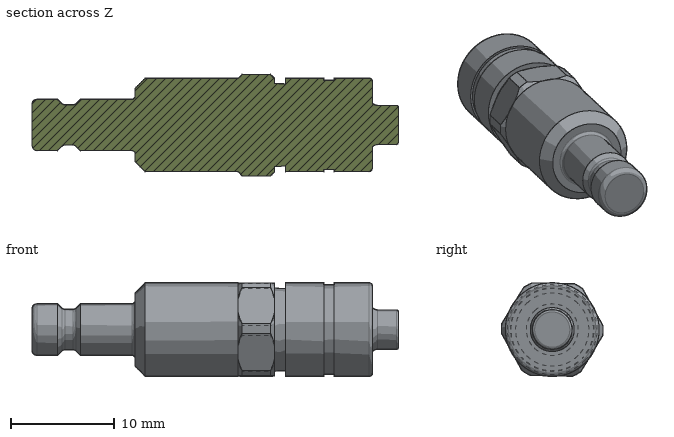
import cadquery as cq
import math

shoulder_x = 10.0
hex_start = 19.98
hex_end = 23.55
sleeve_start = 24.55
sleeve_end = 33.03
total_length = 35.55

plug_radius = 5.0 / 2
tip_fillet = 0.5
groove_radius = 3.95 / 2
groove_start = 2.5
groove_end = 4.7
groove_corner = 0.43
plug_root_fillet = 0.3

body_radius = 9.1 / 2
body_chamfer = 1.0
hex_flats = 9.0
hex_round_radius = 9.9 / 2
hex_chamfer = hex_round_radius - body_radius
hex_tilt = -1.2
hex_sides = 6

neck_front_radius = 8.1 / 2
neck_rear_radius = 8.0 / 2
band_start = 28.3
band_end = 29.3
band_radius = 8.7 / 2
sleeve_fillet = 0.32
pin_radius = 3.85 / 2
pin_root_length = 0.5
pin_root_rise = 0.2
pin_tip_fillet = 0.2

round_mid = 1 - math.sqrt(0.5)


def revolve_about_x(profile):
    return profile.close().revolve(360, (0, 0, 0), (1, 0, 0))


def make_plug():
    arc_length = groove_corner * math.sin(math.radians(45))
    arc_rise = groove_corner * (1 - math.cos(math.radians(45)))
    mid_length = groove_corner * math.sin(math.radians(22.5))
    mid_rise = groove_corner * (1 - math.cos(math.radians(22.5)))
    arc_top = groove_radius + arc_rise
    wall_length = plug_radius - arc_top
    wall_foot_front = groove_start + wall_length
    wall_foot_rear = groove_end - wall_length
    floor_start = wall_foot_front + arc_length
    floor_end = wall_foot_rear - arc_length
    root_mid = plug_root_fillet * round_mid

    return revolve_about_x(
        cq.Workplane("XY")
        .lineTo(0, plug_radius - tip_fillet)
        .threePointArc(
            (tip_fillet * round_mid, plug_radius - tip_fillet * round_mid),
            (tip_fillet, plug_radius),
        )
        .lineTo(groove_start, plug_radius)
        .lineTo(wall_foot_front, arc_top)
        .threePointArc((floor_start - mid_length, groove_radius + mid_rise), (floor_start, groove_radius))
        .lineTo(floor_end, groove_radius)
        .threePointArc((floor_end + mid_length, groove_radius + mid_rise), (wall_foot_rear, arc_top))
        .lineTo(groove_end, plug_radius)
        .lineTo(shoulder_x - plug_root_fillet, plug_radius)
        .threePointArc(
            (shoulder_x - root_mid, plug_radius + root_mid),
            (shoulder_x, plug_radius + plug_root_fillet),
        )
        .lineTo(shoulder_x, 0)
    )


def make_body():
    length = hex_start - shoulder_x
    body = cq.Workplane("YZ", origin=(shoulder_x, 0, 0)).circle(body_radius).extrude(length)
    return body.faces("<X").chamfer(body_chamfer)


def make_hexagon():
    length = hex_end - hex_start
    corner_diameter = hex_flats / math.cos(math.pi / hex_sides)
    prism = cq.Workplane("YZ", origin=(hex_start, 0, 0)).polygon(hex_sides, corner_diameter).extrude(length)
    envelope = cq.Workplane("YZ", origin=(hex_start, 0, 0)).circle(hex_round_radius).extrude(length)
    envelope = envelope.faces("<X or >X").chamfer(hex_chamfer)
    return prism.intersect(envelope).rotate((0, 0, 0), (1, 0, 0), hex_tilt)


def make_rear():
    pin_root_x = sleeve_end + pin_root_length
    root_arc_radius = (pin_root_length**2 + pin_root_rise**2) / (2 * pin_root_rise)
    half_sweep = math.asin(pin_root_length / root_arc_radius) / 2
    root_mid_x = pin_root_x - root_arc_radius * math.sin(half_sweep)
    root_mid_radius = pin_radius + root_arc_radius * (1 - math.cos(half_sweep))
    sleeve_mid = sleeve_fillet * round_mid
    pin_tip_mid = pin_tip_fillet * round_mid
    return revolve_about_x(
        cq.Workplane("XY")
        .moveTo(hex_end, 0)
        .lineTo(hex_end, neck_front_radius)
        .lineTo(sleeve_start, neck_rear_radius)
        .lineTo(sleeve_start, body_radius)
        .lineTo(band_start, body_radius)
        .lineTo(band_start, band_radius)
        .lineTo(band_end, band_radius)
        .lineTo(band_end, body_radius)
        .lineTo(sleeve_end - sleeve_fillet, body_radius)
        .threePointArc(
            (sleeve_end - sleeve_mid, body_radius - sleeve_mid),
            (sleeve_end, body_radius - sleeve_fillet),
        )
        .lineTo(sleeve_end, pin_radius + pin_root_rise)
        .threePointArc((root_mid_x, root_mid_radius), (pin_root_x, pin_radius))
        .lineTo(total_length - pin_tip_fillet, pin_radius)
        .threePointArc(
            (total_length - pin_tip_mid, pin_radius - pin_tip_mid),
            (total_length, pin_radius - pin_tip_fillet),
        )
        .lineTo(total_length, 0)
    )


result = make_plug().union(make_body()).union(make_hexagon()).union(make_rear())
result = result.translate((-total_length / 2, 0, 0))